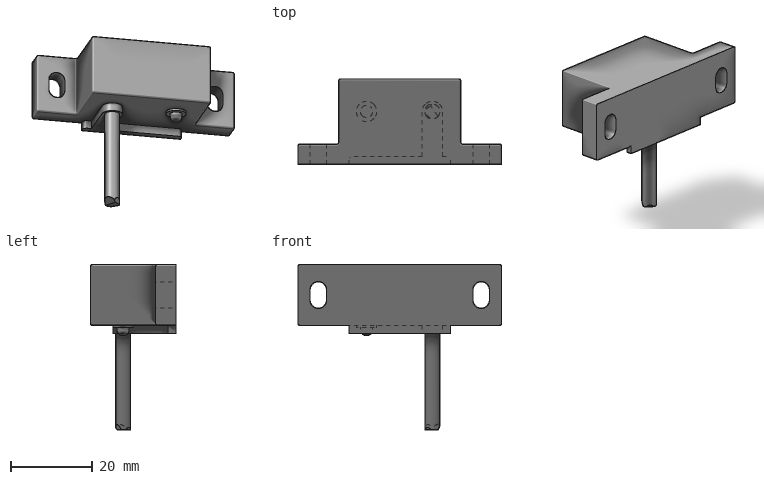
import cadquery as cq
import math

flange_length = 50.0
flange_thickness = 5.0
body_length = 30.0
body_depth = 21.0
height = 15.0
edge_radius = 0.5
underside_z = -height / 2

slot_spacing = 40.0
slot_width = 4.0
slot_height = 6.5

skirt_length = 25.0
skirt_thickness = 2.0
skirt_height = 2.0
skirt_corner_radius = 1.0
outlet_diameter = 5.0

cable_x = 8.0
lamp_x = -8.15
fitting_y = 13.0

cable_diameter = 3.7
overall_height = 40.62
cable_end_z = height / 2 - overall_height
cable_end_facets = [
    (230.0, 0.28, 0.6),
    (125.0, 0.5, 1.3),
    (35.0, 1.4, 1.4),
]

lamp_flange_diameter = 5.0
lamp_flange_thickness = 0.5
lens_diameter = 3.0
lens_straight_length = 0.5


def make_housing():
    half_flange = flange_length / 2
    half_body = body_length / 2
    outline = [
        (-half_flange, 0),
        (half_flange, 0),
        (half_flange, flange_thickness),
        (half_body, flange_thickness),
        (half_body, body_depth),
        (-half_body, body_depth),
        (-half_body, flange_thickness),
        (-half_flange, flange_thickness),
    ]
    block = cq.Workplane("XY").workplane(offset=underside_z).polyline(outline).close().extrude(height)
    upright_edges = block.edges("|Z").edges("not <Y")
    block = upright_edges.fillet(edge_radius)
    mounting_face_edges = block.faces("<Y").edges("|X or |Z").vals()
    rim_edges = [
        edge
        for edge in block.faces("<Z or >Z").edges().vals()
        if not any(edge.isSame(sharp) for sharp in mounting_face_edges)
    ]
    return block.newObject(rim_edges).fillet(edge_radius)


def make_mounting_slots():
    return (
        cq.Workplane("XZ")
        .pushPoints([(-slot_spacing / 2, 0), (slot_spacing / 2, 0)])
        .slot2D(slot_height, slot_width, 90)
        .extrude(-flange_thickness)
    )


def below_housing():
    return cq.Workplane("XY").workplane(offset=underside_z)


def make_skirt():
    plate = (
        below_housing()
        .center(0, skirt_thickness / 2)
        .rect(skirt_length, skirt_thickness)
        .extrude(-skirt_height)
        .edges("|Z and >Y")
        .fillet(skirt_corner_radius)
    )
    web_length = fitting_y - skirt_thickness
    web = (
        below_housing()
        .center(cable_x, skirt_thickness + web_length / 2)
        .rect(outlet_diameter, web_length)
        .extrude(-skirt_height)
    )
    outlet = below_housing().center(cable_x, fitting_y).circle(outlet_diameter / 2).extrude(-skirt_height)
    return plate.union(web).union(outlet)


def make_end_facet(direction, inset, rise):
    radius = cable_diameter / 2
    wedge = (
        cq.Workplane("XZ")
        .moveTo(radius - 2 * inset, -rise)
        .lineTo(radius + inset, 2 * rise)
        .lineTo(radius + inset, -rise)
        .close()
        .extrude(radius, both=True)
    )
    axis_start = (0, 0, 0)
    axis_end = (0, 0, 1)
    return wedge.rotate(axis_start, axis_end, direction).translate((cable_x, fitting_y, cable_end_z))


def make_cable():
    cable_length = underside_z - cable_end_z
    cable = below_housing().center(cable_x, fitting_y).circle(cable_diameter / 2).extrude(-cable_length)
    for direction, inset, rise in cable_end_facets:
        cable = cable.cut(make_end_facet(direction, inset, rise))
    return cable


def make_lamp():
    lens_radius = lens_diameter / 2
    flange_radius = lamp_flange_diameter / 2
    lens_base = -lamp_flange_thickness
    dome_base = lens_base - lens_straight_length
    dome_bend = lens_radius * math.sqrt(0.5)
    lamp = (
        cq.Workplane("XZ")
        .moveTo(0, 0)
        .lineTo(flange_radius, 0)
        .lineTo(flange_radius, lens_base)
        .lineTo(lens_radius, lens_base)
        .lineTo(lens_radius, dome_base)
        .threePointArc((dome_bend, dome_base - dome_bend), (0, dome_base - lens_radius))
        .close()
        .revolve(360, (0, 0), (0, 1))
    )
    return lamp.translate((lamp_x, fitting_y, underside_z))


result = (
    make_housing()
    .cut(make_mounting_slots())
    .union(make_skirt())
    .union(make_cable())
    .union(make_lamp())
)